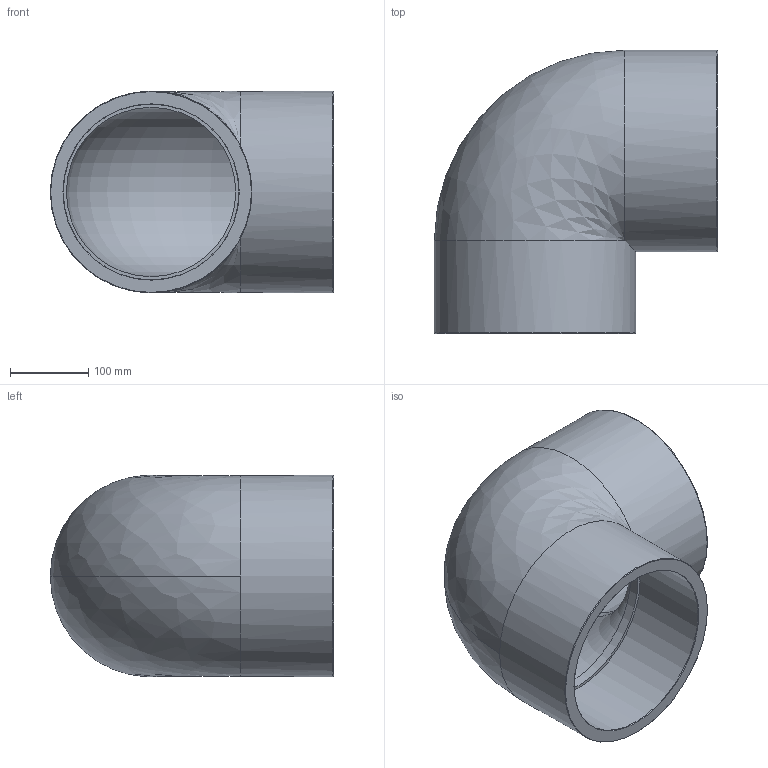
import cadquery as cq
import math


overall_length = 362.85
outer_diameter = 258.0
socket_diameter = 225.0
bore_diameter = 217.0
collar_length = 119.0
socket_depth = 106.0
rim_bevel_length = 1.0
rim_bevel_depth = 0.4

outer_radius = outer_diameter / 2
socket_radius = socket_diameter / 2
bore_radius = bore_diameter / 2
face_distance = overall_length - outer_radius
bend_radius = face_distance - collar_length
bevel_start = face_distance - rim_bevel_length
socket_floor = face_distance - socket_depth
bend_angle = 90
bend_axis_start = (-bend_radius, 0, 0)
bend_axis_end = (-bend_radius, 1, 0)


def round_leg(profile):
    """Solid of revolution about +X through a list of (distance from origin, radius) points."""
    first_distance = profile[0][0]
    last_distance = profile[-1][0]
    half_section = [(first_distance, 0)] + profile + [(last_distance, 0)]
    return cq.Workplane("XY").polyline(half_section).close().revolve(360, (0, 0, 0), (1, 0, 0))


def to_second_leg(leg):
    """Copy of a +X leg turned about Z to point along -Y."""
    return leg.rotate((0, 0, 0), (0, 0, 1), -90)


def bend_section():
    """Workplane across the pipe where the bend meets the +X leg."""
    return cq.Workplane("YZ", origin=(bend_radius, 0, 0))


def outer_bend():
    """Solid quarter turn about the vertical line through (bend_radius, -bend_radius).

    The section is wider than the bend radius, so it is cut off at that line.
    The upper half is revolved and mirrored to give the lower half.
    """
    apex_height = math.sqrt(outer_radius**2 - bend_radius**2)
    arc_middle = outer_radius * math.sqrt(0.5)
    upper_half = (
        bend_section()
        .moveTo(-bend_radius, 0)
        .lineTo(outer_radius, 0)
        .threePointArc((arc_middle, arc_middle), (-bend_radius, apex_height))
        .close()
        .revolve(bend_angle, bend_axis_start, bend_axis_end)
    )
    return upper_half.union(upper_half.mirror("XY"), clean=False)


def bore_bend():
    """Quarter turn of the bore about the same vertical line."""
    return bend_section().circle(bore_radius).revolve(bend_angle, bend_axis_start, bend_axis_end)


def make_body():
    """Outside of the elbow: the bend and two collars with bevelled rims."""
    collar = round_leg(
        [
            (bend_radius, outer_radius),
            (bevel_start, outer_radius),
            (face_distance, outer_radius - rim_bevel_depth),
        ]
    )
    return outer_bend().union(collar).union(to_second_leg(collar))


def make_passage():
    """Inside of the elbow: the bore and two stepped sockets with bevelled mouths."""
    socket = round_leg(
        [
            (bend_radius, bore_radius),
            (socket_floor, bore_radius),
            (socket_floor, socket_radius),
            (bevel_start, socket_radius),
            (face_distance, socket_radius + rim_bevel_depth),
        ]
    )
    return bore_bend().union(socket).union(to_second_leg(socket))


result = make_body().cut(make_passage())